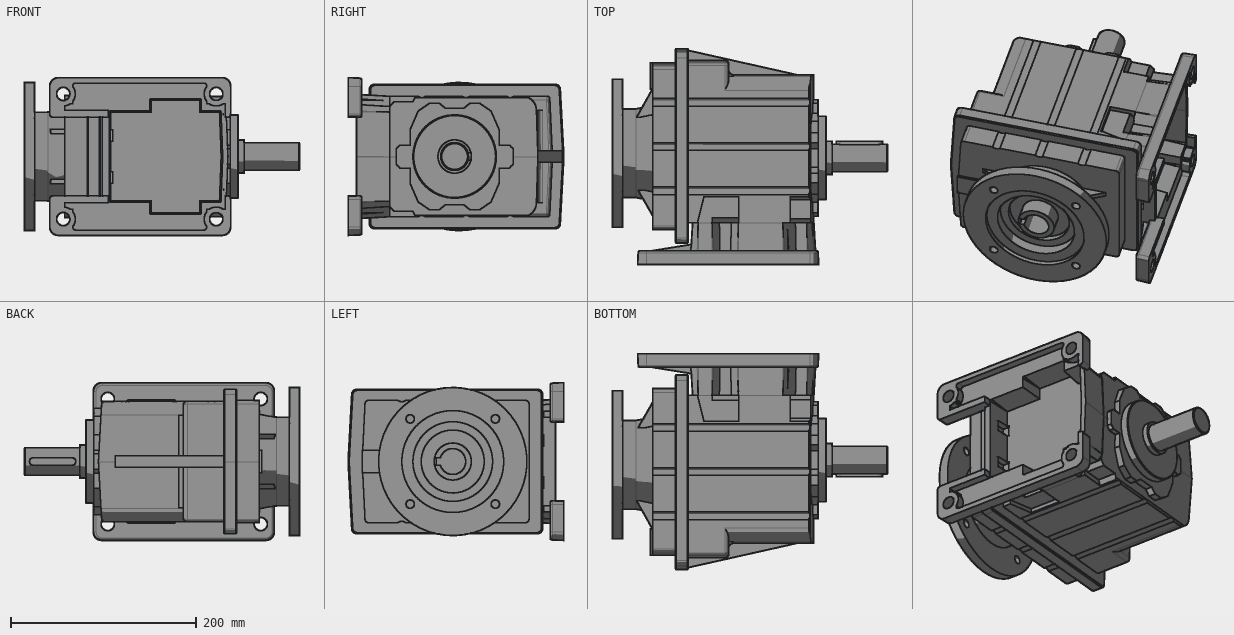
import cadquery as cq


flange_dia = 160.0
flange_thick = 11.0
neck_dia = 96.0
neck_straight_end = 25.0
neck_cone_end_dia = 102.0
flange_bolt_circle = 130.0
flange_bolt_dia = 9.0
recess_steps = ((110.0, 5.0), (86.0, 16.5), (68.0, 22.5))
hub_dia = 40.0
hub_front = 5.5
hub_bore_dia = 28.0
hub_bore_end = 45.0
hub_keyway_width = 8.0
hub_keyway_top = 18.0
neck_rib_offset = 27.0
neck_rib_thick = 5.0
neck_rib_upper = (26.3, 39.0, 70.0)
neck_rib_lower = (27.8, 40.0, 67.5)

cover_front = 43.5
cover_half_width = 66.0
cover_top = 97.7
cover_top_corner = 94.5
cover_bottom = -82.3
cover_corner_radius = 4.0
pad_half_width = 12.0
pad_front = 41.0
pad_bottom = 69.0

plate_front = 67.7
plate_back = 82.1
plate_half_width = 78.0
plate_top = 113.0
plate_top_corner = 108.8
plate_bottom = -97.0
plate_corner_radius = 6.0
plate_edge_chamfer = 1.3

case_half_width = 65.0
case_bottom = -75.0
case_back = 217.1
case_back_corner = 213.5
high_top = 100.6
high_top_corner = 97.6
high_corner_radius = 2.8
high_end = 125.5
low_top = 84.8
low_top_corner = 82.7
low_corner_radius = 15.0
step_side_radius = 4.0
step_foot_radius = 5.0
case_back_edge_chamfer = 1.8
rib_thick = 12.0
rib_top = 111.0
rib_end = 199.0

groove_positions = (55.0, 7.3, -40.4)
groove_width = 8.2
groove_depth = 1.5

label_pocket_top = -47.0
label_pocket_depth = 5.0
label_pocket_start_top = 98.8
label_pocket_start_bottom = 91.8
label_pocket_end = 136.5
label_slope_top = -69.4
label_slope_start = 108.0
rear_pocket_start = 191.7
rear_pocket_depth = 6.0
rear_pocket_slope = 3.0
rear_slope_top = -70.4

output_y = -5.0
lobe_reach = 63.0
lobe_half_width = 12.4
lobe_chamfer = 4.0
pad_shelf_y = 48.0
pad_shelf_half = 29.0
pad_corner = (39.3, 49.0)
pad_tab_outer_y = 27.0
pad_tab_inner_y = 16.5
pad_tab_half = 57.5
pad_waist_y = 10.0
pad_waist_half = 52.0
output_pad_back = 222.1
output_cover_dia = 90.0
output_cover_back = 231.0
output_cover_chamfer = 0.8
shoulder_dia = 36.0
shoulder_back = 237.0
shaft_dia = 30.0
shaft_end = 297.0
shaft_chamfer = 1.0
key_start = 241.5
key_length = 50.0
key_width = 8.0
key_top = 18.0
key_seat = 11.0
key_end_radius = 3.99

foot_start = 27.2
foot_length = 195.5
foot_width = 170.47
foot_bottom = -120.0
foot_thick = 15.0
foot_corner_radius = 9.5
foot_draft = 2.5
foot_edge_radius = 2.4
foot_gap_radius = 3.5
foot_gap_half = 42.4
mount_front = 42.0
mount_pitch_x = 165.0
mount_pitch_z = 135.0
mount_dia = 14.0
mount_boss_radius = 13.0
underside_depth = 9.0
underside_start = 43.4
underside_open_start = 90.5
underside_end = 216.6
underside_corner_radius = 3.0
underside_inner = 49.8
underside_outer = 79.3
underside_boss_clear = 10.4
gusset_start = 43.0
gusset_top = -98.0
gusset_inner = 47.7
gusset_thick = 6.3

pedestal_draft = 3.5
pedestal_start = 86.5
pedestal_end = 217.5
pedestal_back_corner = 215.5
pedestal_corner = 6.0
pedestal_front_half = 60.0
pedestal_front_step = (107.5, 115.5)
pedestal_waist_half = 54.0
pedestal_wide_half = 65.0
pedestal_wide_start = (128.5, 136.0)
pedestal_wide_end = (184.0, 197.5)
cavity_floor = -82.7
cavity_start = 93.4
cavity_end = 212.3
cavity_end_corner = 210.5
cavity_half = 47.5
cavity_wide_start = 137.0
cavity_wide_end = 189.0
cavity_wide_half = 60.5
window_inner = 16.6
window_outer = 29.0
window_end = 95.4
window_low = -98.0
window_high = -80.0

position_tolerance = 0.01
foot_top = foot_bottom + foot_thick
underside_level = foot_bottom + underside_depth


def box(x0, x1, y0, y1, z0, z1):
    """Axis-aligned block between two corners."""
    return cq.Workplane("XY").box(x1 - x0, y1 - y0, z1 - z0, centered=False).translate((x0, y0, z0))


def rod(diameter, x0, x1, y=0.0):
    """Cylinder along X."""
    return cq.Workplane("YZ", origin=(x0, y, 0)).circle(diameter / 2).extrude(x1 - x0)


def prism_x(points, x0, x1):
    """Prism along X from (y, z) points."""
    return cq.Workplane("YZ", origin=(x0, 0, 0)).polyline(points).close().extrude(x1 - x0)


def prism_y(points, y0, y1, draft=0.0):
    """Prism along -Y from (x, z) points at y0 down to y1, widening by the draft angle."""
    plane = cq.Plane(origin=(0, y0, 0), xDir=(1, 0, 0), normal=(0, -1, 0))
    return cq.Workplane(plane).polyline(points).close().extrude(y0 - y1, taper=-draft)


def prism_z(points, z0, z1):
    """Prism along Z from (x, y) points."""
    return cq.Workplane("XY", origin=(0, 0, z0)).polyline(points).close().extrude(z1 - z0)


def both_sides(part):
    """The part together with its mirror image across Z = 0."""
    return part.union(part.mirror("XY"))


def mirrored_outline(points):
    """Closed outline from its upper half, given from front to back."""
    return points + [(x, -z) for x, z in reversed(points) if z > 0]


def gabled_block(x0, x1, bottom, corner_y, apex_y, half_width):
    """Block along X whose +Y side rises to a shallow ridge at Z = 0."""
    outline = [(bottom, half_width), (corner_y, half_width), (apex_y, 0)]
    outline += [(corner_y, -half_width), (bottom, -half_width)]
    return prism_x(outline, x0, x1)


def round_long_edges(block, radius, y_limit=None):
    """Fillet the X edges at the block's sides, or only those above y_limit."""
    edges = block.edges("|X").edges(">Z or <Z")
    if y_limit is not None:
        edges = edges.filter(lambda edge: edge.Center().y > y_limit)
    return edges.fillet(radius)


def neck_rib(start, inner, outer):
    """Triangular rib between the neck and the front cover, on the +Y, +Z side."""
    return prism_z(
        [(start, inner), (cover_front, outer), (cover_front, inner)],
        neck_rib_offset - neck_rib_thick / 2, neck_rib_offset + neck_rib_thick / 2,
    )


def motor_side():
    flange = rod(flange_dia, 0, flange_thick)
    neck = rod(neck_dia, 0, neck_straight_end)
    cone = (
        cq.Workplane("YZ", origin=(neck_straight_end, 0, 0)).circle(neck_dia / 2)
        .workplane(offset=cover_front - neck_straight_end).circle(neck_cone_end_dia / 2).loft()
    )
    ribs = both_sides(neck_rib(*neck_rib_upper).union(neck_rib(*neck_rib_lower).mirror("XZ")))
    return flange.union(neck).union(cone).union(ribs)


def motor_socket():
    """Stepped recess of the motor flange, around the input hub."""
    recess = rod(recess_steps[0][0], 0, recess_steps[0][1])
    for diameter, depth in recess_steps[1:]:
        recess = recess.union(rod(diameter, 0, depth))
    recess = recess.cut(rod(hub_dia, hub_front, recess_steps[-1][1]))
    bore = rod(hub_bore_dia, 0, hub_bore_end)
    keyway = box(0, hub_bore_end, 0, hub_keyway_top, -hub_keyway_width / 2, hub_keyway_width / 2)
    bolts = (
        cq.Workplane("YZ").polarArray(flange_bolt_circle / 2, 45, 360, 4)
        .circle(flange_bolt_dia / 2).extrude(flange_thick)
    )
    return recess.union(bore).union(keyway).union(bolts)


def front_cover():
    cover = gabled_block(
        cover_front, plate_front, cover_bottom, cover_top_corner, cover_top, cover_half_width
    )
    cover = round_long_edges(cover, cover_corner_radius)
    pad = box(pad_front, cover_front, pad_bottom, cover_top, -pad_half_width, pad_half_width)
    return cover.union(pad)


def joint_plate():
    plate = gabled_block(
        plate_front, plate_back, plate_bottom, plate_top_corner, plate_top, plate_half_width
    )
    plate = round_long_edges(plate, plate_corner_radius)
    return plate.faces("<X or >X").chamfer(plate_edge_chamfer)


def gear_case():
    low = gabled_block(plate_back, case_back, case_bottom, low_top_corner, low_top, case_half_width)
    low = round_long_edges(low, low_corner_radius, 0)
    high = gabled_block(plate_back, high_end, case_bottom, high_top_corner, high_top, case_half_width)
    high = round_long_edges(high, high_corner_radius, 0)
    high = high.faces(">X").edges("|Y").fillet(step_side_radius)
    step_foot_half_width = case_half_width - low_corner_radius
    step_foot = (
        cq.Workplane("XY", origin=(0, 0, -step_foot_half_width))
        .moveTo(high_end, low_top_corner)
        .lineTo(high_end, low_top + step_foot_radius)
        .radiusArc((high_end + step_foot_radius, low_top), -step_foot_radius)
        .lineTo(high_end + step_foot_radius, low_top_corner)
        .close().extrude(2 * step_foot_half_width)
    )
    back_trim = prism_y(
        [(case_back, 0), (case_back_corner, case_half_width), (case_back, case_half_width)],
        high_top, case_bottom,
    )
    edge_trim = prism_y(
        [
            (case_back_corner - case_back_edge_chamfer, case_half_width),
            (case_back_corner, case_half_width - case_back_edge_chamfer),
            (case_back, case_half_width),
        ],
        high_top, case_bottom,
    )
    rib = prism_z(
        [(plate_back, low_top_corner), (plate_back, rib_top), (rib_end, low_top), (rib_end, low_top_corner)],
        -rib_thick / 2, rib_thick / 2,
    )
    return low.union(high).union(step_foot).cut(both_sides(back_trim.union(edge_trim))).union(rib)


def side_grooves(half_width, x0, x1):
    """Shallow arc grooves along both sides of a block."""
    radius = ((groove_width / 2) ** 2 + groove_depth ** 2) / (2 * groove_depth)
    centre_z = half_width - groove_depth + radius
    grooves = None
    for y in groove_positions:
        groove = rod(2 * radius, x0, x1, y).translate((0, 0, centre_z))
        grooves = groove if grooves is None else grooves.union(groove)
    return both_sides(grooves)


def label_pocket():
    floor = case_half_width - label_pocket_depth
    pocket = prism_z(
        [
            (label_pocket_start_top, label_pocket_top), (label_pocket_end, label_pocket_top),
            (label_pocket_end, case_bottom), (label_pocket_start_bottom, case_bottom),
        ],
        floor, case_half_width,
    )
    slope = prism_x(
        [(label_slope_top, floor), (case_bottom, floor), (case_bottom, pedestal_waist_half)],
        label_slope_start, label_pocket_end,
    )
    return both_sides(pocket.union(slope))


def rear_pocket():
    floor = case_half_width - rear_pocket_depth
    outline = [
        (label_pocket_top, case_half_width), (label_pocket_top - rear_pocket_slope, floor),
        (rear_slope_top, floor), (case_bottom, pedestal_waist_half), (case_bottom, case_half_width),
    ]
    return both_sides(prism_x(outline, rear_pocket_start, case_back))


def output_pad():
    """Raised pad around the output bearing, alike in all four quadrants."""
    quadrant = [
        (0, 0), (lobe_reach, 0), (lobe_reach, lobe_half_width - lobe_chamfer),
        (lobe_reach - lobe_chamfer, lobe_half_width), (pad_shelf_y, lobe_half_width),
        (pad_shelf_y, pad_shelf_half), pad_corner, (pad_tab_outer_y, pad_tab_half),
        (pad_tab_inner_y, pad_tab_half), (pad_waist_y, pad_waist_half), (0, pad_waist_half),
    ]
    quarter = prism_x(quadrant, case_back_corner, output_pad_back)
    return both_sides(quarter.union(quarter.mirror("XZ"))).translate((0, output_y, 0))


def output_side():
    pad = output_pad()
    cover = rod(output_cover_dia, output_pad_back, output_cover_back, output_y)
    cover = cover.faces(">X").chamfer(output_cover_chamfer)
    shoulder = rod(shoulder_dia, output_cover_back, shoulder_back, output_y)
    shaft = rod(shaft_dia, shoulder_back, shaft_end, output_y).faces(">X").chamfer(shaft_chamfer)
    key = box(
        key_start, key_start + key_length, output_y + key_seat, output_y + key_top,
        -key_width / 2, key_width / 2,
    )
    key = key.edges("|Y").fillet(key_end_radius)
    return pad.union(cover).union(shoulder).union(shaft).union(key)


def pedestal():
    outline = mirrored_outline([
        (pedestal_start, pedestal_front_half - pedestal_corner),
        (pedestal_start + pedestal_corner, pedestal_front_half),
        (pedestal_front_step[0], pedestal_front_half),
        (pedestal_front_step[1], pedestal_waist_half),
        (pedestal_wide_start[0], pedestal_waist_half),
        (pedestal_wide_start[1], pedestal_wide_half),
        (pedestal_wide_end[0], pedestal_wide_half),
        (pedestal_wide_end[1], pedestal_waist_half),
        (pedestal_back_corner - pedestal_corner, pedestal_waist_half),
        (pedestal_back_corner, pedestal_waist_half - pedestal_corner),
        (pedestal_end, 0),
    ])
    return prism_y(outline, case_bottom, underside_level, pedestal_draft)


def pedestal_cavity():
    outline = mirrored_outline([
        (cavity_start, cavity_half), (cavity_wide_start, cavity_half),
        (cavity_wide_start, cavity_wide_half), (cavity_wide_end, cavity_wide_half),
        (cavity_wide_end, cavity_half), (cavity_end_corner, cavity_half), (cavity_end, 0),
    ])
    cavity = prism_y(outline, cavity_floor, underside_level, pedestal_draft)
    window = box(plate_back, window_end, window_low, window_high, window_inner, window_outer)
    return cavity.union(both_sides(window))


def foot():
    centre_x = foot_start + foot_length / 2
    plane = cq.Plane(origin=(centre_x, foot_bottom, 0), xDir=(1, 0, 0), normal=(0, 1, 0))
    plate = (
        cq.Workplane(plane)
        .sketch().rect(foot_length, foot_width).vertices().fillet(foot_corner_radius).finalize()
        .extrude(foot_thick, taper=foot_draft)
    )
    gap = box(
        foot_start, foot_start + foot_length, foot_bottom, foot_top, -foot_gap_half, foot_gap_half
    )
    gusset = prism_z(
        [(gusset_start, foot_top), (pedestal_start, gusset_top), (pedestal_start, foot_top)],
        gusset_inner, gusset_inner + gusset_thick,
    )
    arms = plate.cut(gap)
    upright = arms.edges("not(|X)").edges("not(|Z)")
    gap_corners = upright.filter(lambda edge: abs(abs(edge.Center().z) - foot_gap_half) < position_tolerance)
    arms = gap_corners.fillet(foot_gap_radius).faces(">Y").edges().fillet(foot_edge_radius)
    return arms.union(both_sides(gusset))


def mount_rods(diameter):
    """Upright cylinders through the foot at its four mounting points."""
    rods = None
    for x in (mount_front, mount_front + mount_pitch_x):
        plane = cq.Plane(origin=(x, foot_bottom, mount_pitch_z / 2), xDir=(1, 0, 0), normal=(0, 1, 0))
        hole = both_sides(cq.Workplane(plane).circle(diameter / 2).extrude(foot_thick))
        rods = hole if rods is None else rods.union(hole)
    return rods


def foot_underside():
    """Shallow pocket under the foot, leaving a rim and four mounting bosses."""
    y0, y1 = foot_bottom, underside_level
    long_start = mount_front + underside_boss_clear
    long_end = mount_front + mount_pitch_x - underside_boss_clear
    inner_limit = mount_pitch_z / 2 - underside_boss_clear
    pocket = box(long_start, long_end, y0, y1, underside_inner, underside_outer)
    pocket = pocket.edges("|Y and >Z").fillet(underside_corner_radius)
    pocket = pocket.union(box(underside_start, underside_end, y0, y1, underside_inner, inner_limit))
    pocket = pocket.union(box(underside_open_start, underside_end, y0, y1, foot_gap_half, inner_limit))
    return both_sides(pocket).cut(mount_rods(2 * mount_boss_radius))


cover = front_cover().cut(side_grooves(cover_half_width, cover_front, plate_front))
case = gear_case().cut(side_grooves(case_half_width, plate_back, case_back))
case = case.cut(label_pocket()).cut(rear_pocket())
base = foot().union(pedestal())
base = base.cut(foot_underside()).cut(mount_rods(mount_dia))

result = motor_side().union(cover).union(joint_plate()).union(case).union(output_side()).union(base)
result = result.cut(motor_socket()).cut(pedestal_cavity())